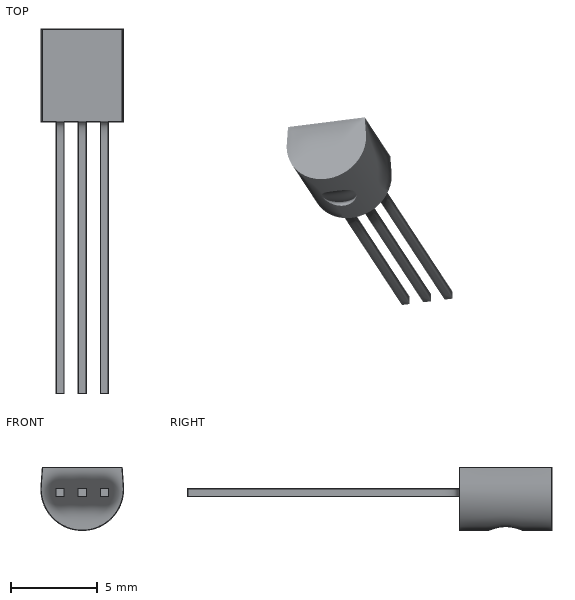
import cadquery as cq

total_length = 20.95
housing_length = 5.32
housing_diameter = 4.75
housing_height = 3.62
flat_width = 4.59
drafted_height = 1.0

mark_diameter = 2.0
mark_depth = 0.25

lead_count = 3
lead_pitch = 1.28
lead_width = 0.46
lead_drop = 1.45

housing_radius = housing_diameter / 2
bottom_z = -housing_radius
top_z = bottom_z + housing_height
shoulder_z = top_z - drafted_height
shoulder_x = (housing_radius**2 - shoulder_z**2) ** 0.5
lead_length = total_length - housing_length
lead_z = top_z - lead_drop


def make_housing():
    """D-shaped block with a round recess at the middle of its underside."""
    block = (
        cq.Workplane("XZ")
        .moveTo(-flat_width / 2, top_z)
        .lineTo(-shoulder_x, shoulder_z)
        .threePointArc((0, bottom_z), (shoulder_x, shoulder_z))
        .lineTo(flat_width / 2, top_z)
        .close()
        .extrude(-housing_length)
    )
    mark = (
        cq.Workplane("XY", origin=(0, housing_length / 2, bottom_z))
        .circle(mark_diameter / 2)
        .extrude(mark_depth)
    )
    return block.cut(mark)


def make_lead(x):
    """Straight square lead that starts at the front face of the housing."""
    return (
        cq.Workplane("XZ", origin=(x, 0, lead_z))
        .rect(lead_width, lead_width)
        .extrude(lead_length)
    )


housing = make_housing()

leads = []
for index in range(lead_count):
    lead_x = (index - (lead_count - 1) / 2) * lead_pitch
    leads.append(make_lead(lead_x))

result = cq.Compound.makeCompound([housing.val(), *[lead.val() for lead in leads]])